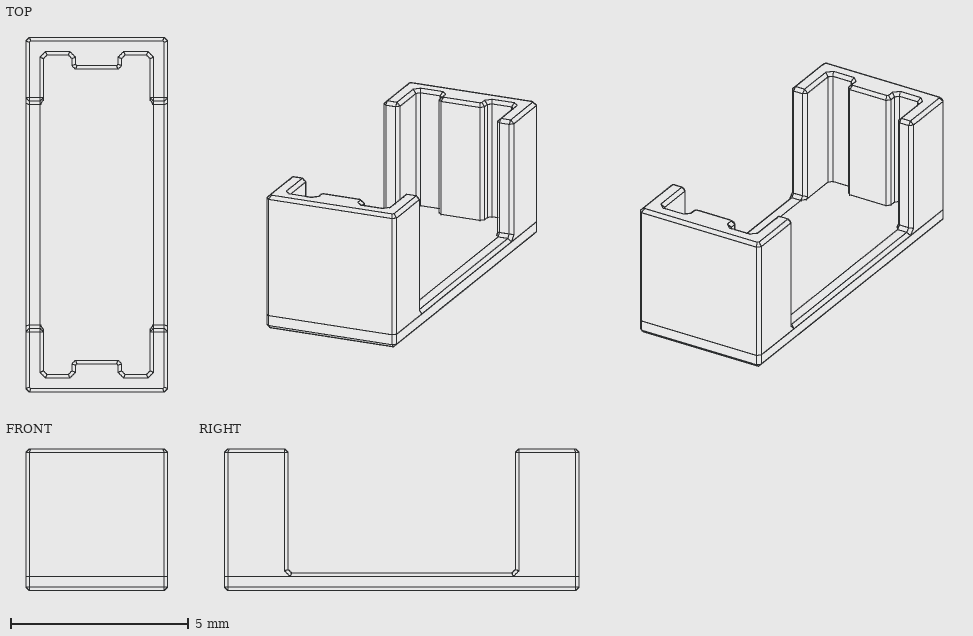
import cadquery as cq

LENGTH = 10.0
WIDTH = 4.0
HEIGHT = 4.0

BEVEL = 0.1
WALL = 0.5
TOWER_LENGTH = 1.8
RIB_WIDTH = 1.4
RIB_DEPTH = 0.4

FLOOR_Z = 0.5
SEAM_Z = FLOOR_Z - BEVEL

CAVITY_LENGTH = LENGTH - 2 * WALL
WINDOW_LENGTH = LENGTH - 2 * TOWER_LENGTH
MARGIN = 0.01


def slab(x_size, y_size, z_low, z_high):
    """Box centred on the Z axis, between two heights."""
    height = z_high - z_low
    box = cq.Workplane("XY").box(x_size, y_size, height, centered=(True, True, False))
    return box.translate((0, 0, z_low))


def make_cavity():
    """Through cavity with bevelled corners, notched by a rib at each end."""
    cavity = slab(WIDTH - 2 * WALL, CAVITY_LENGTH, 0, HEIGHT)
    rib = slab(RIB_WIDTH, 2 * RIB_DEPTH, 0, HEIGHT)
    for side in (-1, 1):
        cavity = cavity.cut(rib.translate((0, side * CAVITY_LENGTH / 2, 0)))
    return cavity.edges("|Z").chamfer(BEVEL)


def make_window():
    """Opening between the towers, through both side walls and down to the sills."""
    window = slab(2 * WIDTH, WINDOW_LENGTH, FLOOR_Z, HEIGHT)
    return window.edges("|X and <Z").chamfer(BEVEL)


def bevel_rim(frame):
    """Bevel the top edges of the towers and the edges around the window."""
    reach = WINDOW_LENGTH / 2 + MARGIN
    window_zone = cq.selectors.BoxSelector(
        (-WIDTH, -reach, FLOOR_Z - MARGIN),
        (WIDTH, reach, HEIGHT - MARGIN),
    )
    tower_tops = frame.faces(">Z").edges()
    window_edges = frame.edges(window_zone).edges("not |X")
    return tower_tops.add(window_edges).chamfer(BEVEL)


def make_housing():
    """Two towers joined by the low sills along both sides, resting on the base plate."""
    frame = slab(WIDTH, LENGTH, 0, HEIGHT).edges("|Z").chamfer(BEVEL)
    frame = frame.cut(make_cavity()).cut(make_window())
    frame = bevel_rim(frame)
    return frame.intersect(slab(WIDTH, LENGTH, SEAM_Z, HEIGHT))


def make_base(housing):
    """Bevelled plate whose raised middle fills the bottom of the cavity."""
    plate = slab(WIDTH, LENGTH, 0, FLOOR_Z).edges().chamfer(BEVEL)
    return plate.cut(housing)


housing = make_housing()
base = make_base(housing)

result = cq.Compound.makeCompound([base.solids().val(), housing.solids().val()])